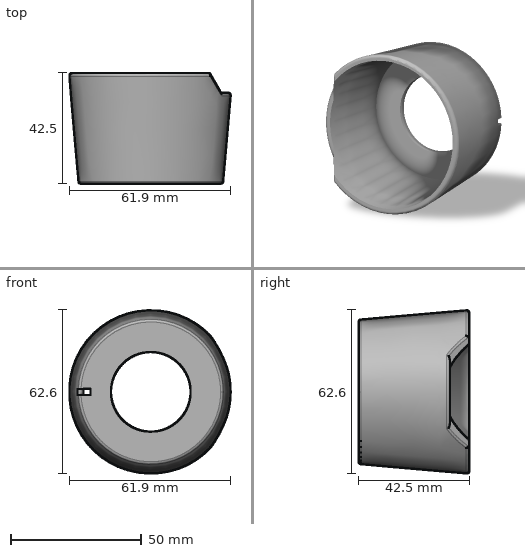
import cadquery as cq
import math

height = 42.5
taper = math.tan(math.radians(5))
rim_round = 1.2
nose_round = 1.0
widest_radius = 31.3
wall = 2.3
plate_thickness = 3.0
bore_radius = 15.2

relief_depth = 7.5
relief_corner_x = 26.9
relief_angle = 60.0

slot_width = 2.4
slot_depth = 4.15
slot_inner_x = -23.1


def outer_radius(y):
    return widest_radius + (y - (height - rim_round)) * taper


def frustum(y_start, radius_start, radius_end):
    """Solid cone about Y, from y_start up to the rim plane."""
    profile = [(0, y_start), (radius_start, y_start), (radius_end, height), (0, height)]
    return cq.Workplane("XY").polyline(profile).close().revolve(360, (0, 0), (0, 1))


def rim_relief():
    """Prism along Z with a flat floor and a sloping inner side."""
    floor_y = height - relief_depth
    slope_run = relief_depth / math.tan(math.radians(relief_angle))
    far_x = 2 * widest_radius
    profile = [
        (relief_corner_x, floor_y),
        (far_x, floor_y),
        (far_x, height),
        (relief_corner_x - slope_run, height),
    ]
    return cq.Workplane("XY").polyline(profile).close().extrude(widest_radius, both=True)


def edge_slot():
    length = widest_radius + slot_inner_x
    block = cq.Workplane("XY").box(length, slot_depth, slot_width, centered=(False, False, True))
    return block.translate((-widest_radius, 0, 0))


body = frustum(0, outer_radius(0), outer_radius(height))
body = body.faces("<Y").edges().fillet(nose_round)
body = body.cut(rim_relief())
middle_y = height / 2
cone_edges = body.faces("%CONE").edges().vals()
rim_edges = [edge for edge in cone_edges if edge.Center().y > middle_y]
body = body.newObject(rim_edges).fillet(rim_round)

cavity = frustum(plate_thickness, outer_radius(plate_thickness) - wall, outer_radius(height) - wall)
bore = cq.Workplane("XZ").circle(bore_radius).extrude(-height)
result = body.cut(cavity).cut(bore).cut(edge_slot())